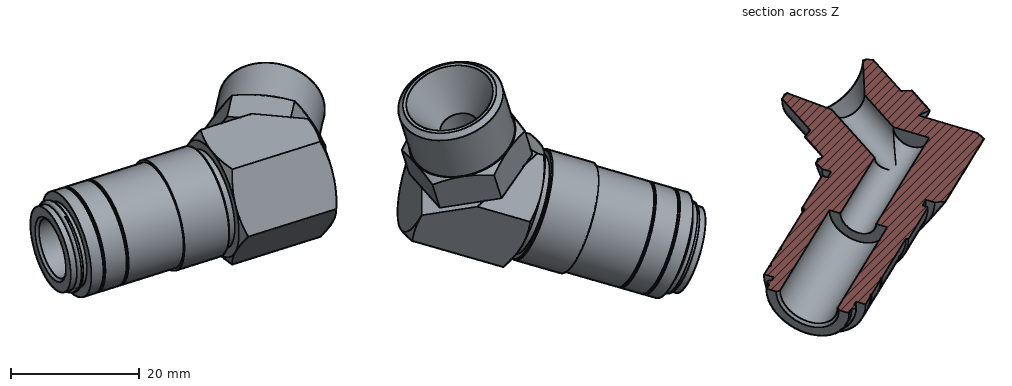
import cadquery as cq
import math

ARM_TILT = 35.0

HEX_SIDES = 6
CORNER_BEVEL = 30.0

BODY_FLATS = 19.0
BODY_BOTTOM = -7.2
BODY_LENGTH = 17.0

STEM_LENGTH = 28.0
NOSE_RADIUS = 7.0
NOSE_LENGTH = 2.8
SLEEVE_RADIUS = 8.6
COLLAR_RADIUS = 9.0
COLLAR_START = 18.8
COLLAR_END = 26.7
COLLAR_CHAMFER = 0.2
NECK_RADIUS = 8.05
RING_SECTION_RADIUS = 0.55
RING_OUTER_RADIUS = 7.5
RING_POSITION = 1.6
GROOVE_STARTS = (4.93, 8.97)
GROOVE_WIDTH = 0.32
GROOVE_DEPTH = 0.15

STEM_BORE_RADIUS = 4.85
STEM_BORE_DEPTH = 20.0
STEM_BORE_MOUTH_RADIUS = 5.3
PASSAGE_RADIUS = 3.0

ARM_SEAT = 5.95
NUT_FLATS = 17.0
NUT_LENGTH = 6.05
ARM_RADIUS = 8.35
ARM_END = 21.0
ARM_CHAMFER_LENGTH = 0.7
ARM_RIM_RADIUS = 7.45
CONE_MOUTH_RADIUS = 6.9
CONE_HALF_ANGLE = 30.0

STEM_END = BODY_BOTTOM - STEM_LENGTH
TRIM_SIZE = 4 * BODY_FLATS

tilt = math.radians(ARM_TILT)
arm_direction = cq.Vector(-math.cos(tilt), math.sin(tilt), 0)
stem_direction = cq.Vector(0, 1, 0)
z_direction = cq.Vector(0, 0, 1)


def plane_along(direction, distance):
    """Plane square to an axis, with its local X in the XY plane and local Y along Z."""
    return cq.Plane(origin=direction * distance, xDir=direction.cross(z_direction), normal=direction)


def cylinder(direction, start, end, radius):
    return cq.Workplane(plane_along(direction, start)).circle(radius).extrude(end - start)


def cone(direction, start, end, start_radius, end_radius):
    solid = cq.Solid.makeCone(
        start_radius, end_radius, end - start, direction * start, direction
    )
    return cq.Workplane(solid)


def hexagon(direction, start, end, flats, bevel_start, bevel_end):
    """Hexagonal bar with flats facing +Z and -Z, its corners bevelled at the chosen ends."""
    inradius = flats / 2
    length = end - start
    across_corners = flats / math.cos(math.pi / HEX_SIDES)
    bar = cq.Workplane(plane_along(direction, start)).polygon(HEX_SIDES, across_corners).extrude(length)
    widened = inradius + length / math.tan(math.radians(CORNER_BEVEL))
    if bevel_start:
        bar = bar.intersect(cone(direction, start, end, inradius, widened))
    if bevel_end:
        bar = bar.intersect(cone(direction, start, end, widened, inradius))
    return bar


def make_body():
    """Hexagonal body, cut off flat where the arm is seated."""
    body = hexagon(stem_direction, BODY_BOTTOM, BODY_BOTTOM + BODY_LENGTH, BODY_FLATS, True, True)
    beyond_seat = (
        cq.Workplane(plane_along(arm_direction, ARM_SEAT)).rect(TRIM_SIZE, TRIM_SIZE).extrude(TRIM_SIZE)
    )
    return body.cut(beyond_seat)


def stem_cylinder(start, end, radius):
    """Cylinder on the stem axis, placed by distances from the free end of the stem."""
    return cylinder(stem_direction, STEM_END + start, STEM_END + end, radius)


def make_stem():
    stem = stem_cylinder(0, NOSE_LENGTH, NOSE_RADIUS)
    stem = stem.union(stem_cylinder(NOSE_LENGTH, COLLAR_START, SLEEVE_RADIUS))
    collar = stem_cylinder(COLLAR_START, COLLAR_END, COLLAR_RADIUS).faces(">Y").chamfer(COLLAR_CHAMFER)
    stem = stem.union(collar)
    stem = stem.union(stem_cylinder(COLLAR_END, STEM_LENGTH, NECK_RADIUS))
    for start in GROOVE_STARTS:
        groove = stem_cylinder(start, start + GROOVE_WIDTH, SLEEVE_RADIUS).cut(
            stem_cylinder(start, start + GROOVE_WIDTH, SLEEVE_RADIUS - GROOVE_DEPTH)
        )
        stem = stem.cut(groove)
    ring = cq.Solid.makeTorus(
        RING_OUTER_RADIUS - RING_SECTION_RADIUS,
        RING_SECTION_RADIUS,
        stem_direction * (STEM_END + RING_POSITION),
        stem_direction,
    )
    return stem.union(cq.Workplane(ring))


def make_arm():
    """Hexagonal shoulder and chamfered cylinder along the tilted axis."""
    nut_end = ARM_SEAT + NUT_LENGTH
    nut = hexagon(arm_direction, ARM_SEAT, nut_end, NUT_FLATS, False, True)
    spigot = cylinder(arm_direction, nut_end, ARM_END - ARM_CHAMFER_LENGTH, ARM_RADIUS)
    tip = cone(arm_direction, ARM_END - ARM_CHAMFER_LENGTH, ARM_END, ARM_RADIUS, ARM_RIM_RADIUS)
    return nut.union(spigot).union(tip)


def make_bores():
    """Stepped stem bore and coned arm bore, joined where the axes meet."""
    mouth_depth = STEM_BORE_MOUTH_RADIUS - STEM_BORE_RADIUS
    stem_bore = stem_cylinder(0, STEM_BORE_DEPTH, STEM_BORE_RADIUS)
    stem_mouth = cone(
        stem_direction, STEM_END, STEM_END + mouth_depth, STEM_BORE_MOUTH_RADIUS, STEM_BORE_RADIUS
    )
    passage_top = PASSAGE_RADIUS * (1 / math.cos(tilt) + math.tan(tilt))
    stem_passage = cylinder(stem_direction, STEM_END, passage_top, PASSAGE_RADIUS)
    arm_passage = cylinder(arm_direction, 0, ARM_END, PASSAGE_RADIUS)
    cone_depth = (CONE_MOUTH_RADIUS - PASSAGE_RADIUS) / math.tan(math.radians(CONE_HALF_ANGLE))
    arm_cone = cone(arm_direction, ARM_END - cone_depth, ARM_END, PASSAGE_RADIUS, CONE_MOUTH_RADIUS)
    return stem_bore.union(stem_mouth).union(stem_passage).union(arm_passage).union(arm_cone)


result = make_body().union(make_stem()).union(make_arm()).cut(make_bores())